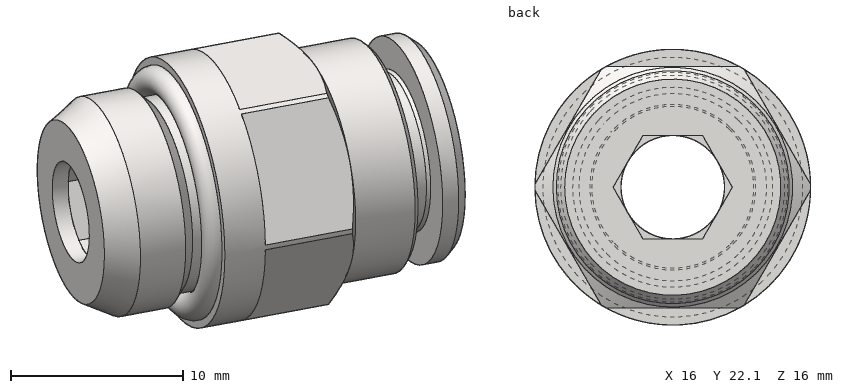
import cadquery as cq
import math

length = 22.1

thread_dia = 13.0
undercut_dia = 11.6
seal_dia = 15.07
flange_dia = 16.0
collar_dia = 13.9
neck_dia = 9.4
ring_dia = 13.5

hex_across_flats = 14.01
bore_across_flats = 6.0

taper_end = 1.83
thread_end = 4.65
flange_start = 6.5
hex_start = 9.02
hex_end = 15.03
collar_end = 19.0
neck_start = 19.2
ring_start = 20.5

taper_angle = 30.0
hex_chamfer_angle = 30.0
collar_chamfer = 0.29
ring_chamfer_width = 0.49
ring_chamfer_length = 0.6
neck_flare_width = 0.1
neck_flare_length = 0.22
neck_skirt_dia = 11.45
round_bore_depth = 1.0


def hex_prism(across_flats, start, end):
    """Hexagonal prism along +Y with two flats facing +Z and -Z."""
    across_corners = across_flats / math.cos(math.radians(30))
    base = cq.Workplane("XZ", origin=(0, start, 0)).polygon(6, across_corners)
    return base.extrude(start - end)


def cylinder(diameter, start, end):
    """Round bar along +Y."""
    return cq.Workplane("XZ", origin=(0, start, 0)).circle(diameter / 2).extrude(start - end)


def turned_body():
    """Solid of revolution, with the hexagon still round."""
    thread_r = thread_dia / 2
    undercut_r = undercut_dia / 2
    seal_r = seal_dia / 2
    flange_r = flange_dia / 2
    collar_r = collar_dia / 2
    neck_r = neck_dia / 2
    ring_r = ring_dia / 2

    tip_r = thread_r - taper_end * math.tan(math.radians(taper_angle))
    undercut_start = thread_end + thread_r - undercut_r
    seal_section_r = (seal_r - undercut_r) / 2
    seal_crest = (undercut_r + seal_section_r, flange_start - seal_section_r)
    hex_chamfer_length = (flange_r - collar_r) * math.tan(math.radians(hex_chamfer_angle))

    profile = (
        cq.Workplane("XY")
        .lineTo(tip_r, 0)
        .lineTo(thread_r, taper_end)
        .lineTo(thread_r, thread_end)
        .lineTo(undercut_r, undercut_start)
        .lineTo(undercut_r, flange_start)
        .threePointArc(seal_crest, (seal_r, flange_start))
        .lineTo(flange_r, flange_start)
        .lineTo(flange_r, hex_end - hex_chamfer_length)
        .lineTo(collar_r, hex_end)
        .lineTo(collar_r, collar_end - collar_chamfer)
        .lineTo(collar_r - collar_chamfer, collar_end)
        .lineTo(neck_skirt_dia / 2, collar_end)
        .lineTo(neck_r, neck_start)
        .lineTo(neck_r, ring_start - neck_flare_length)
        .lineTo(neck_r + neck_flare_width, ring_start)
        .lineTo(ring_r, ring_start)
        .lineTo(ring_r, length - ring_chamfer_length)
        .lineTo(ring_r - ring_chamfer_width, length)
        .lineTo(0, length)
        .close()
    )
    return profile.revolve(360, (0, 0, 0), (0, 1, 0))


def outside_of_hex():
    """Material removed around the body to leave the six wrench flats."""
    blank_dia = 2 * flange_dia
    blank = cylinder(blank_dia, hex_start, hex_end)
    return blank.cut(hex_prism(hex_across_flats, hex_start, hex_end))


bore_mouth = cylinder(bore_across_flats, 0, round_bore_depth)
hex_bore = hex_prism(bore_across_flats, round_bore_depth, length)

result = turned_body().cut(outside_of_hex()).cut(bore_mouth).cut(hex_bore)